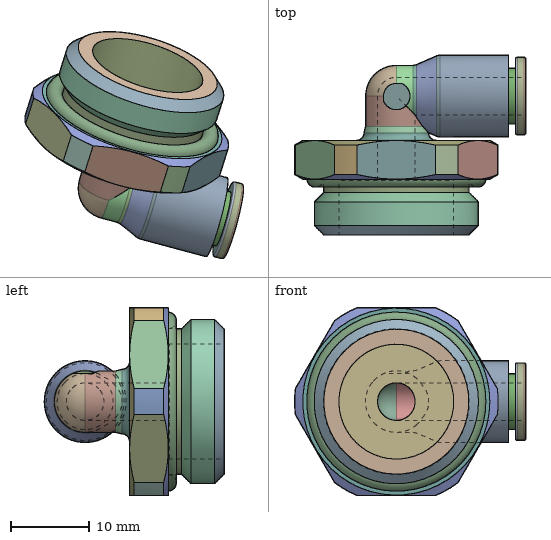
import cadquery as cq
import math


thread_radius = 10.5
thread_chamfer = 1.25
neck_radius = 9.3
thread_shoulder_y = 4.25
neck_start_y = thread_shoulder_y + thread_radius - neck_radius
bore_radius = 7.33
bore_depth = 7.0

seal_y = 6.12
seal_outer_radius = 11.45
cord_radius = (seal_outer_radius - neck_radius) / 2
cord_centre_radius = neck_radius + cord_radius
cord_centre_y = seal_y + cord_radius

hex_y = 7.12
hex_thickness = 5.0
hex_top_y = hex_y + hex_thickness
hex_across_flats = 24.0
hex_turned_radius = 13.0
hex_face_radius = 11.95
hex_chamfer_angle = 30
hex_chamfer_height = (hex_turned_radius - hex_face_radius) * math.tan(math.radians(hex_chamfer_angle))

elbow_y = 17.75
elbow_radius = 3.93
stem_foot_radius = 4.15
stem_taper_y = 13.9
stem_foot_y = 13.05
stem_flare = stem_foot_y - hex_top_y
passage_radius = 2.4
badge_radius = 1.75
badge_floor_z = 3.58

outlet_radius = 5.23
cone_start_x = 2.35
cone_end_x = 5.35
outlet_end_x = 14.33
collar_x = 15.2
collar_end_x = 16.55
collar_neck_radius = 3.58
collar_radius = 4.95
collar_round = 0.27
cone_blend = 1.0


def threaded_end():
    """Thread and undercut neck, turned about Y."""
    profile = (
        cq.Workplane("XY")
        .lineTo(thread_radius - thread_chamfer, 0)
        .lineTo(thread_radius, thread_chamfer)
        .lineTo(thread_radius, thread_shoulder_y)
        .lineTo(neck_radius, neck_start_y)
        .lineTo(neck_radius, hex_y)
        .lineTo(0, hex_y)
        .close()
    )
    return profile.revolve(360, (0, 0, 0), (0, 1, 0))


def sealing_ring():
    """Round cord around the neck, partly sunk into the hexagon face."""
    cord = cq.Workplane("XY").moveTo(cord_centre_radius, cord_centre_y).circle(cord_radius)
    return cord.revolve(360, (0, 0, 0), (0, 1, 0))


def hexagon():
    """Hexagon with flats facing +Z and -Z, its corners turned and chamfered on both faces."""
    across_corners = hex_across_flats / math.cos(math.pi / 6)
    prism = (
        cq.Workplane("XZ", origin=(0, hex_y, 0))
        .polygon(6, across_corners)
        .extrude(-hex_thickness)
    )
    turned_blank = (
        cq.Workplane("XY")
        .moveTo(0, hex_y)
        .lineTo(hex_face_radius, hex_y)
        .lineTo(hex_turned_radius, hex_y + hex_chamfer_height)
        .lineTo(hex_turned_radius, hex_top_y - hex_chamfer_height)
        .lineTo(hex_face_radius, hex_top_y)
        .lineTo(0, hex_top_y)
        .close()
        .revolve(360, (0, 0, 0), (0, 1, 0))
    )
    return prism.intersect(turned_blank)


def stem():
    """Stem rising from the hexagon, flared at its foot, up to the elbow centre."""
    mid = stem_flare * (1 - math.sqrt(0.5))
    profile = (
        cq.Workplane("XY")
        .moveTo(0, hex_top_y)
        .lineTo(stem_foot_radius + stem_flare, hex_top_y)
        .threePointArc((stem_foot_radius + mid, hex_top_y + mid), (stem_foot_radius, stem_foot_y))
        .lineTo(elbow_radius, stem_taper_y)
        .lineTo(elbow_radius, elbow_y)
        .lineTo(0, elbow_y)
        .close()
    )
    return profile.revolve(360, (0, 0, 0), (0, 1, 0))


def outlet():
    """Outlet sleeve with its blended cone, and the neck and rounded collar at its end."""
    profile = (
        cq.Workplane("XY", origin=(0, elbow_y, 0))
        .lineTo(0, elbow_radius)
        .lineTo(cone_start_x, elbow_radius)
        .lineTo(cone_end_x, outlet_radius)
        .lineTo(outlet_end_x, outlet_radius)
        .lineTo(outlet_end_x, 0)
        .close()
    )
    sleeve = profile.revolve(360, (0, 0, 0), (1, 0, 0))
    for rim_x in (cone_start_x, cone_end_x):
        rim = cq.selectors.NearestToPointSelector((rim_x, elbow_y, 0))
        sleeve = sleeve.edges(rim).fillet(cone_blend)
    collar_neck = along_x(collar_neck_radius, outlet_end_x, collar_x)
    collar = along_x(collar_radius, collar_x, collar_end_x).edges("%CIRCLE").fillet(collar_round)
    return sleeve.union(collar_neck).union(collar)


def along_x(radius, start, end):
    """Cylinder about the outlet axis between two X positions."""
    return cq.Workplane("YZ", origin=(start, elbow_y, 0)).circle(radius).extrude(end - start)


def along_y(radius, start, end):
    """Cylinder about the thread axis between two Y positions."""
    return cq.Workplane("XZ", origin=(0, start, 0)).circle(radius).extrude(start - end)


def ball(radius):
    """Sphere at the elbow centre."""
    return cq.Workplane("XY", origin=(0, elbow_y, 0)).sphere(radius)


badge_recess = (
    cq.Workplane("XY", origin=(0, elbow_y, badge_floor_z)).circle(badge_radius).extrude(elbow_radius)
)

result = (
    threaded_end()
    .union(sealing_ring())
    .union(hexagon())
    .union(stem())
    .union(ball(elbow_radius))
    .union(outlet())
    .cut(along_y(bore_radius, 0, bore_depth))
    .cut(along_y(passage_radius, 0, elbow_y))
    .cut(ball(passage_radius))
    .cut(along_x(passage_radius, 0, collar_end_x))
    .cut(badge_recess)
)